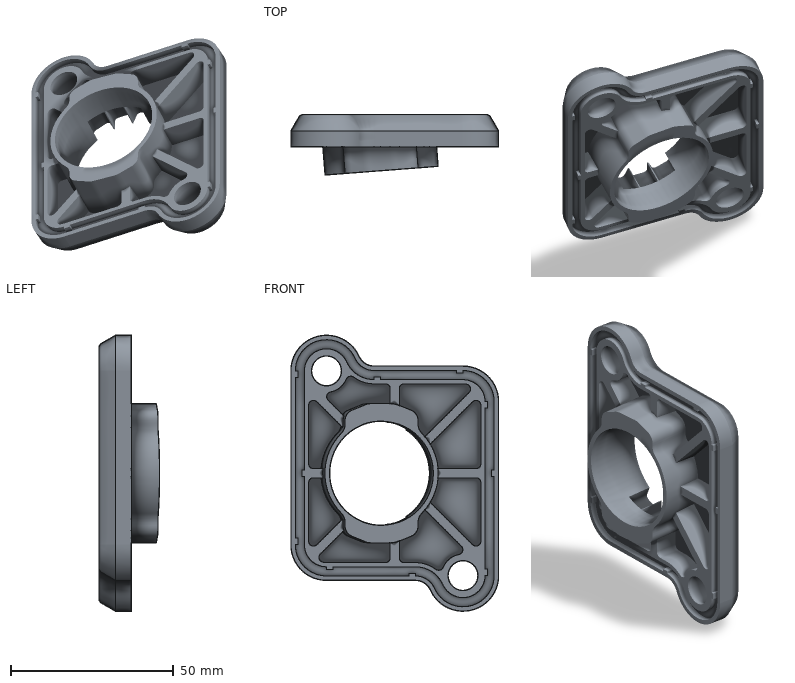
import math

import cadquery as cq

PLATE_WIDTH = 64.0
PLATE_HEIGHT = 66.0
CORNER_RADIUS = 11.0
EAR_RISE = 9.49
NECK_RADIUS = 5.0
HALF_WIDTH = PLATE_WIDTH / 2
HALF_HEIGHT = PLATE_HEIGHT / 2
EAR_X = HALF_WIDTH - CORNER_RADIUS
EAR_Z = HALF_HEIGHT + EAR_RISE - CORNER_RADIUS
CORNER_Z = HALF_HEIGHT - CORNER_RADIUS

PLATE_DEPTH = 10.0
RIM_DEPTH = 4.85
TAPER_ANGLE = 30.0
BACK_EDGE_RADIUS = 1.8
HOLE_DIAMETER = 9.1

GROOVE_OUTER_INSET = 1.4
GROOVE_INNER_INSET = 4.2
GROOVE_DEPTH = 2.0
TAB_LENGTH = 2.0
TAB_REACH = 0.8
NECK_TAB_X = 5.4
TAB_ROOT = 0.4

POCKET_INSET = 5.5
POCKET_DEPTH = 7.5
POCKET_RADIUS = 1.5
RIB_WIDTH = 2.8
BOSS_RADIUS = 6.6
RIB_ANGLES = (0, 45, 90, 135)

BORE_DIAMETER = 32.0
TUBE_RADIUS = 17.5
TUBE_TILT = 4.4
TIP_X = -4.05
TOTAL_DEPTH = 18.71
LOBE_RADIUS = 21.4
LOBE_FLAT_ANGLE = 22.5
LOBE_HALF_WIDTH = 11.25
LOBE_CORNER_RADIUS = 3.3
LOBE_CREST_RADIUS = 5.0
LOBE_ROOT_RADIUS = 4.0
TIP_Y = PLATE_DEPTH - TOTAL_DEPTH + TUBE_RADIUS * math.sin(math.radians(TUBE_TILT))

RECESS_FRONT_Y = 1.85
RECESS_RADIUS = 20.0
RECESS_WIDTH = 5.95
RECESS_CORNER_RADIUS = 1.25
MARGIN = 20.0
TOLERANCE = 0.01


def plate_outline(inset):
    """Closed outline of the plate, moved inwards by inset, on the Y = 0 plane."""
    half_width = HALF_WIDTH - inset
    half_height = HALF_HEIGHT - inset
    ear = CORNER_RADIUS - inset
    neck = NECK_RADIUS + inset
    rise = HALF_HEIGHT + NECK_RADIUS - EAR_Z
    run = math.sqrt((CORNER_RADIUS + NECK_RADIUS) ** 2 - rise ** 2)
    angle = math.atan2(rise, run)
    neck_x = -EAR_X + run
    neck_z = EAR_Z + rise
    joint = (-EAR_X + ear * math.cos(angle), EAR_Z + ear * math.sin(angle))
    middle = (angle + math.pi / 2) / 2
    ear_top = (-EAR_X, EAR_Z + ear)
    neck_mid = (neck_x - neck * math.cos(middle), neck_z - neck * math.sin(middle))
    diagonal = ear * math.sqrt(0.5)
    corner_mid = (EAR_X + diagonal, CORNER_Z + diagonal)

    def opposite(point):
        return (-point[0], -point[1])

    neck_end = (neck_x, half_height)
    corner_start = (EAR_X, half_height)
    corner_end = (half_width, CORNER_Z)
    ear_start = (-half_width, EAR_Z)
    return (
        cq.Workplane("XZ")
        .moveTo(*ear_start)
        .threePointArc(ear_top, joint)
        .threePointArc(neck_mid, neck_end)
        .lineTo(*corner_start)
        .threePointArc(corner_mid, corner_end)
        .lineTo(*opposite(ear_start))
        .threePointArc(opposite(ear_top), opposite(joint))
        .threePointArc(opposite(neck_mid), opposite(neck_end))
        .lineTo(*opposite(corner_start))
        .threePointArc(opposite(corner_mid), opposite(corner_end))
        .close()
    )


def box_between(x_range, y_range, z_range):
    """Axis-aligned box from its limits."""
    return cq.Workplane("XY").box(
        x_range[1] - x_range[0],
        y_range[1] - y_range[0],
        z_range[1] - z_range[0],
        centered=False,
    ).translate((x_range[0], y_range[0], z_range[0]))


def plate_body():
    """Straight rim at the front, tapered and rounded towards the back."""
    rim = plate_outline(0).extrude(-RIM_DEPTH)
    taper_depth = PLATE_DEPTH - RIM_DEPTH
    back = plate_outline(0).extrude(-taper_depth, taper=TAPER_ANGLE)
    back = back.faces(">Y").edges().fillet(BACK_EDGE_RADIUS)
    return rim.union(back.translate((0, RIM_DEPTH, 0)))


def ear_posts(radius):
    """Cylinders through the plate on the two ear centres."""
    centres = [(-EAR_X, EAR_Z), (EAR_X, -EAR_Z)]
    return cq.Workplane("XZ").pushPoints(centres).circle(radius).extrude(-PLATE_DEPTH)


def retaining_tabs():
    """Tabs on the outer groove wall, and their half-turn copies on the inner wall."""
    half = TAB_LENGTH / 2
    depth = (0, GROOVE_DEPTH)
    tabs = cq.Workplane("XY")
    wall_x = {1: HALF_WIDTH, -1: -HALF_WIDTH}
    wall_z = {1: HALF_HEIGHT, -1: -HALF_HEIGHT}
    upright_tabs = [(-1, EAR_Z - half), (1, 0), (-1, -CORNER_Z + half)]
    level_tabs = [(1, EAR_X - half), (-1, NECK_TAB_X)]
    for inset, turn in ((GROOVE_OUTER_INSET, 1), (GROOVE_INNER_INSET, -1)):
        ends = (inset - turn * TAB_ROOT, inset + turn * TAB_REACH)
        for side, z in upright_tabs:
            x_limits = sorted(turn * (wall_x[side] - side * end) for end in ends)
            tabs = tabs.union(box_between(x_limits, depth, (turn * z - half, turn * z + half)))
        for side, x in level_tabs:
            z_limits = sorted(turn * (wall_z[side] - side * end) for end in ends)
            tabs = tabs.union(box_between((turn * x - half, turn * x + half), depth, z_limits))
    return tabs


def seal_groove():
    """Ring groove following the outline, interrupted by the tabs."""
    outer = plate_outline(GROOVE_OUTER_INSET).extrude(-GROOVE_DEPTH)
    inner = plate_outline(GROOVE_INNER_INSET).extrude(-GROOVE_DEPTH)
    return outer.cut(inner).cut(retaining_tabs())


def is_pocket_corner(edge):
    """True for depth-wise pocket edges where a rib or an ear boss meets the side wall."""
    point = edge.Center()
    if math.hypot(point.x - TIP_X, point.z) < LOBE_RADIUS:
        return False
    on_rib = any(
        abs(abs(point.x * math.sin(a) - point.z * math.cos(a)) - RIB_WIDTH / 2) < TOLERANCE
        for a in map(math.radians, RIB_ANGLES)
    )
    boss_distance = math.hypot(abs(point.x) - EAR_X, abs(point.z) - EAR_Z)
    on_boss = point.x * point.z < 0 and abs(boss_distance - BOSS_RADIUS) < TOLERANCE
    return on_rib or on_boss


def pockets():
    """Eight pockets separated by radial ribs, clear of the ear bosses."""
    cutter = plate_outline(POCKET_INSET).extrude(-POCKET_DEPTH)
    rib = cq.Workplane("XY").box(2 * PLATE_WIDTH, 2 * PLATE_DEPTH, RIB_WIDTH)
    for angle in RIB_ANGLES:
        cutter = cutter.cut(rib.rotate((0, 0, 0), (0, 1, 0), angle))
    cutter = cutter.cut(ear_posts(BOSS_RADIUS))
    corners = [edge for edge in cutter.edges("|Y").vals() if is_pocket_corner(edge)]
    return cutter.newObject(corners).fillet(POCKET_RADIUS)


def tube_plane():
    """Plane across the tube at its front end; its normal points out of the front."""
    tilt = math.radians(TUBE_TILT)
    return cq.Plane(
        origin=(TIP_X, TIP_Y, 0),
        xDir=(math.cos(tilt), math.sin(tilt), 0),
        normal=(math.sin(tilt), -math.cos(tilt), 0),
    )


def lobe_prism(length):
    """Bar with faceted ends that forms both lobes."""
    turn = math.radians(LOBE_FLAT_ANGLE)
    crest_x = LOBE_RADIUS * math.tan(turn / 2)
    side_z = (LOBE_RADIUS - LOBE_HALF_WIDTH * math.sin(turn)) / math.cos(turn)
    outline = [
        (LOBE_HALF_WIDTH, -side_z),
        (LOBE_HALF_WIDTH, side_z),
        (crest_x, LOBE_RADIUS),
        (-crest_x, LOBE_RADIUS),
        (-LOBE_HALF_WIDTH, side_z),
        (-LOBE_HALF_WIDTH, -side_z),
        (-crest_x, -LOBE_RADIUS),
        (crest_x, -LOBE_RADIUS),
    ]
    bar = cq.Workplane(tube_plane()).polyline(outline).close().extrude(-length)
    lengthwise = cq.selectors.ParallelDirSelector(tube_plane().zDir)
    edges = bar.edges(lengthwise).vals()
    middle_z = (side_z + LOBE_RADIUS) / 2
    corners = [edge for edge in edges if abs(edge.Center().z) < middle_z]
    bar = bar.newObject(corners).fillet(LOBE_CORNER_RADIUS)
    edges = bar.edges(lengthwise).vals()
    crests = [edge for edge in edges if abs(edge.Center().z) > LOBE_RADIUS - TOLERANCE]
    return bar.newObject(crests).fillet(LOBE_CREST_RADIUS)


def tube_body():
    """Solid tube with both lobes, cut off inside the plate floor."""
    length = TOTAL_DEPTH + MARGIN
    tube = cq.Workplane(tube_plane()).circle(TUBE_RADIUS).extrude(-length)
    tube = tube.union(lobe_prism(length))
    lengthwise = cq.selectors.ParallelDirSelector(tube_plane().zDir)
    root_z = math.sqrt(TUBE_RADIUS ** 2 - LOBE_HALF_WIDTH ** 2)
    edges = tube.edges(lengthwise).vals()
    roots = [edge for edge in edges if abs(abs(edge.Center().z) - root_z) < TOLERANCE]
    tube = tube.newObject(roots).fillet(LOBE_ROOT_RADIUS)
    floor_middle = (POCKET_DEPTH + PLATE_DEPTH) / 2
    envelope = box_between(
        (-PLATE_WIDTH, PLATE_WIDTH), (-TOTAL_DEPTH, floor_middle), (-PLATE_HEIGHT, PLATE_HEIGHT)
    )
    return tube.intersect(envelope)


def bore():
    """Through bore along the tilted axis."""
    return (
        cq.Workplane(tube_plane())
        .workplane(offset=MARGIN)
        .circle(BORE_DIAMETER / 2)
        .extrude(-TOTAL_DEPTH - 2 * MARGIN)
    )


def lobe_recesses():
    """Fan of three round-cornered recesses behind each lobe, one per lobe flat."""
    start = (TIP_Y - RECESS_FRONT_Y) / math.cos(math.radians(TUBE_TILT))
    recess = (
        cq.Workplane(tube_plane())
        .workplane(offset=start)
        .rect(RECESS_WIDTH, 2 * RECESS_RADIUS)
        .extrude(-TOTAL_DEPTH)
        .edges(cq.selectors.ParallelDirSelector(tube_plane().zDir))
        .fillet(RECESS_CORNER_RADIUS)
    )
    axis_start = tube_plane().origin
    axis_end = axis_start + tube_plane().zDir
    recesses = recess
    for angle in (-LOBE_FLAT_ANGLE, LOBE_FLAT_ANGLE):
        recesses = recesses.union(recess.rotate(axis_start.toTuple(), axis_end.toTuple(), angle))
    return recesses


plate = plate_body().cut(seal_groove()).cut(pockets())
result = (
    plate.union(tube_body())
    .cut(bore())
    .cut(lobe_recesses())
    .cut(ear_posts(HOLE_DIAMETER / 2))
)